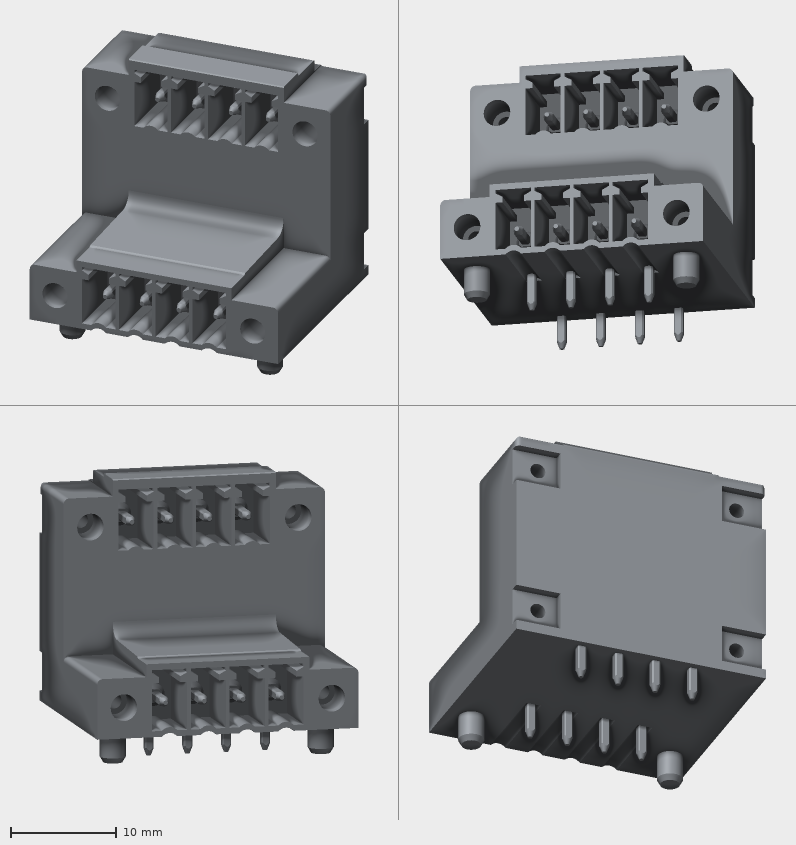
import cadquery as cq
import math


width = 25.65
depth = 21.9
level_rise = 15.23
level_setback = 12.72
lower_shoulder = 5.83
upper_shoulder = lower_shoulder + level_rise
shoulder_radius = 0.52
levels = [(0.0, 0.0), (level_setback, level_rise)]

raised_width = 16.0
lower_raised_top = 7.07
lower_slope_start = 7.23
lower_slope_end = 7.49
lower_step_front = 3.19
lower_step_back = 3.4
root_radius = 1.48
upper_raised_top = 22.71
upper_raised_back_top = 22.38
upper_step_front = 16.08
upper_step_back = 16.32
upper_raised_back = 20.18
edge_chamfer = 0.1
back_chamfer_run = 0.23
strip_top = upper_shoulder + 0.1
back_edge_radius = 0.2

pole_pitch = 3.8
pole_count = 4
pole_places = [(i - (pole_count - 1) / 2) * pole_pitch for i in range(pole_count)]
contact_height = 2.98
tail_setback = 8.03
contact_tip_setback = 1.55
bar_size = 0.85
bar_chamfer = 0.13
shank_size = 1.27
shank_chamfer = 0.2
shank_overhang = 0.13
tail_bottom = -3.19
taper_length = 0.83
taper_base_diameter = 1.1
taper_tip_diameter = 0.45

cavity_width = 3.45
cavity_depth = 6.22
cavity_bottom = 0.57
cavity_top = 6.48
lip_bottom = 5.2
lip_top = 5.78
lip_root_top = 6.15
neck_width = 2.1
rib_half_width = 0.75
rib_height = 0.34
groove_length = tail_setback + bar_size
collar_base_diameter = 2.23
collar_middle_diameter = 1.6
collar_end_diameter = 1.27
collar_stage_height = 0.4

hole_x = 10.2
screw_diameter = 1.53
counterbore_diameter = 2.6
counterbore_depth = 3.88
nut_height = 3.8
nut_centre_height = 2.87
nut_pocket_depth = 0.98
nut_pocket_inner_x = 8.3

peg_y = 4.22
peg_diameter = 2.49
peg_length = 2.98
peg_chamfer_height = 0.55
peg_chamfer_inset = 0.3


def block(x_size, y_min, y_max, z_min, z_max):
    """Box centred on X."""
    size = (x_size, y_max - y_min, z_max - z_min)
    return cq.Workplane("XY").box(*size, centered=(True, False, False)).translate((0, y_min, z_min))


def across(profile, x_size):
    """Extrude a closed YZ profile symmetrically about X = 0."""
    return profile.close().extrude(x_size / 2, both=True)


def make_base():
    base = block(width, 0, level_setback, 0, lower_shoulder)
    return base.edges("|Y and >Z").fillet(shoulder_radius)


def make_tower():
    """Rear block; its rear corners are rounded only above the upper nut pockets."""
    cap_bottom = level_rise + nut_centre_height + nut_height / 2
    tower = block(width, level_setback, depth, 0, cap_bottom)
    front_shape = block(width, level_setback, depth, cap_bottom, upper_shoulder)
    front_shape = front_shape.edges("|Y and >Z").fillet(shoulder_radius)
    plan_shape = block(width, level_setback, depth, cap_bottom, upper_shoulder)
    plan_shape = plan_shape.edges("|Z and >Y").fillet(shoulder_radius)
    side_shape = block(width, level_setback, depth, cap_bottom, upper_shoulder)
    side_shape = side_shape.edges("|X and >Y and >Z").fillet(back_edge_radius)
    return tower.union(front_shape.intersect(plan_shape).intersect(side_shape))


def make_lower_raised():
    """Sloped raised centre of the lower row, with a rounded root against the tower."""
    slope = math.atan2(lower_slope_end - lower_slope_start, level_setback - root_radius - lower_step_back)
    root_y = level_setback - root_radius
    root_z = lower_slope_end + root_radius * math.cos(slope)
    arc_angle = (slope - math.pi / 2) / 2
    profile = (
        cq.Workplane("YZ")
        .moveTo(0, cavity_bottom)
        .lineTo(0, lower_raised_top)
        .lineTo(lower_step_front, lower_raised_top)
        .lineTo(lower_step_back, lower_slope_start)
        .lineTo(root_y + root_radius * math.sin(slope), lower_slope_end)
        .threePointArc(
            (root_y + root_radius * math.cos(arc_angle), root_z + root_radius * math.sin(arc_angle)),
            (level_setback, root_z),
        )
        .lineTo(level_setback, cavity_bottom)
    )
    return across(profile, raised_width)


def make_upper_raised():
    """Raised centre of the upper row, with a ramped step down and a low strip behind it."""
    arc_shift = back_edge_radius * (1 - math.sqrt(0.5))
    profile = (
        cq.Workplane("YZ")
        .moveTo(level_setback, level_rise)
        .lineTo(level_setback, upper_raised_top - edge_chamfer)
        .lineTo(level_setback + edge_chamfer, upper_raised_top)
        .lineTo(upper_step_front, upper_raised_top)
        .lineTo(upper_step_back, upper_raised_back_top)
        .lineTo(upper_raised_back - back_chamfer_run, upper_raised_back_top)
        .lineTo(upper_raised_back, upper_raised_back_top - edge_chamfer)
        .lineTo(upper_raised_back, strip_top)
        .lineTo(depth - back_edge_radius, strip_top)
        .threePointArc(
            (depth - arc_shift, strip_top - arc_shift),
            (depth, strip_top - back_edge_radius),
        )
        .lineTo(depth, level_rise)
    )
    return across(profile, raised_width)


def make_collar_stage(base_y, base_diameter, end_diameter):
    """Cone frustum on the contact axis, narrowing towards the front."""
    frustum = cq.Solid.makeCone(
        base_diameter / 2,
        end_diameter / 2,
        collar_stage_height,
        cq.Vector(0, base_y, contact_height),
        cq.Vector(0, -1, 0),
    )
    return cq.Workplane(frustum)


def make_cavity():
    """Plug cavity: lipped top, ribbed floor and a two-stage conical collar on the end wall."""
    side = cavity_width / 2
    neck = neck_width / 2
    cavity = (
        cq.Workplane("XZ")
        .moveTo(-side, cavity_bottom)
        .lineTo(-rib_half_width, cavity_bottom)
        .threePointArc((0, cavity_bottom + rib_height), (rib_half_width, cavity_bottom))
        .lineTo(side, cavity_bottom)
        .lineTo(side, lip_bottom)
        .lineTo(neck, lip_bottom)
        .lineTo(neck, lip_top)
        .lineTo(side, lip_root_top)
        .lineTo(side, cavity_top)
        .lineTo(-side, cavity_top)
        .lineTo(-side, lip_root_top)
        .lineTo(-neck, lip_top)
        .lineTo(-neck, lip_bottom)
        .lineTo(-side, lip_bottom)
        .close()
        .extrude(-cavity_depth)
    )
    middle_y = cavity_depth - collar_stage_height
    outer_stage = make_collar_stage(cavity_depth, collar_base_diameter, collar_middle_diameter)
    inner_stage = make_collar_stage(middle_y, collar_middle_diameter, collar_end_diameter)
    return cavity.cut(outer_stage).cut(inner_stage)


def make_underside_groove():
    """Shallow arched groove under each lower contact, following the floor rib and passing its tail."""
    return (
        cq.Workplane("XZ")
        .moveTo(-rib_half_width, 0)
        .threePointArc((0, rib_height), (rib_half_width, 0))
        .close()
        .extrude(-groove_length)
    )


def make_screw_hole():
    """Through hole with a front counterbore, starting at a front face at Y = 0."""
    hole = cq.Workplane("XZ").circle(screw_diameter / 2).extrude(-depth)
    return hole.union(cq.Workplane("XZ").circle(counterbore_diameter / 2).extrude(-counterbore_depth))


def make_nut_pockets():
    """Pair of rear pockets, open to the back and to both sides."""
    z_min = nut_centre_height - nut_height / 2
    pockets = block(width, depth - nut_pocket_depth, depth, z_min, z_min + nut_height)
    return pockets.cut(block(2 * nut_pocket_inner_x, 0, depth, 0, upper_shoulder))


def make_peg():
    peg = cq.Workplane("XY").circle(peg_diameter / 2).extrude(-peg_length)
    return peg.faces("<Z").chamfer(peg_chamfer_height, peg_chamfer_inset)


def make_housing():
    housing = make_base().union(make_tower()).union(make_lower_raised()).union(make_upper_raised())
    for face_y, base_z in levels:
        for x in pole_places:
            housing = housing.cut(make_cavity().translate((x, face_y, base_z)))
        for x in (-hole_x, hole_x):
            housing = housing.cut(make_screw_hole().translate((x, face_y, base_z + contact_height)))
        housing = housing.cut(make_nut_pockets().translate((0, 0, base_z)))
    for x in pole_places:
        housing = housing.cut(make_underside_groove().translate((x, 0, 0)))
    for x in (-hole_x, hole_x):
        housing = housing.union(make_peg().translate((x, peg_y, 0)))
    return housing


def make_bar(length):
    """Square bar along +Z with chamfered edges, tapering to a round tip at Z = 0."""
    bar = cq.Workplane("XY").rect(bar_size, bar_size).extrude(length).edges("|Z").chamfer(bar_chamfer)
    envelope = (
        cq.Workplane("XZ")
        .lineTo(taper_tip_diameter / 2, 0)
        .lineTo(taper_base_diameter / 2, taper_length)
        .lineTo(bar_size, taper_length)
        .lineTo(bar_size, length)
        .lineTo(0, length)
        .close()
        .revolve(360, (0, 0), (0, 1))
    )
    return bar.intersect(envelope)


def make_pin(x, face_y, base_z):
    """Right-angled pin: a contact pointing forward from a thicker shank, and a solder tail pointing down."""
    axis_z = base_z + contact_height
    tail_y = face_y + tail_setback
    tip_y = face_y + contact_tip_setback
    contact = make_bar(tail_y + bar_size / 2 - tip_y).rotate((0, 0, 0), (1, 0, 0), -90)
    tail = make_bar(axis_z + bar_size / 2 - tail_bottom)
    pin = contact.translate((x, tip_y, axis_z)).union(tail.translate((x, tail_y, tail_bottom)))
    shank_y = face_y + cavity_depth - 2 * collar_stage_height - shank_overhang
    shank = block(shank_size, shank_y, tail_y, axis_z - shank_size / 2, axis_z + shank_size / 2)
    shank = shank.edges("|Y").chamfer(shank_chamfer)
    return pin.union(shank.translate((x, 0, 0)))


pins = [make_pin(x, face_y, base_z) for face_y, base_z in levels for x in pole_places]

housing = make_housing()
for pin in pins:
    housing = housing.cut(pin)

result = cq.Compound.makeCompound([housing.solids().val(), *[pin.solids().val() for pin in pins]])